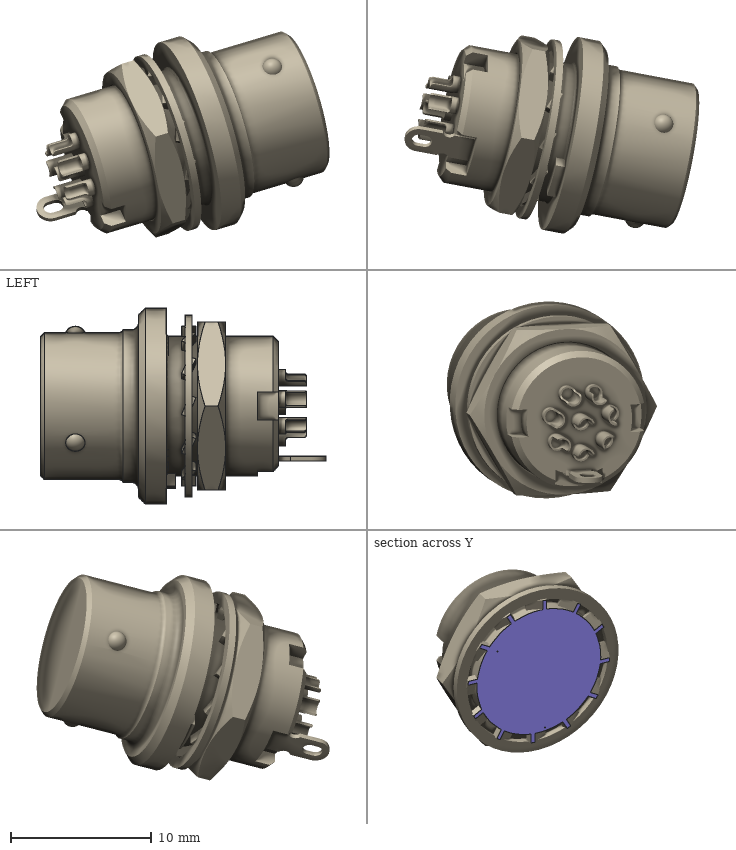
import math

import cadquery as cq


FLANGE_R = 7.0
FLANGE_THICKNESS = 2.0
FLANGE_CHAMFER = 0.5
COLLAR_R = 5.45
COLLAR_END_Y = 3.05
COLLAR_FILLET = 0.5
PLUG_R = 5.25
PLUG_END_Y = 9.0
PLUG_CHAMFER = 0.3
PLUG_ROOT_FILLET = 0.35
BARREL_R = 5.0
BARREL_END_Y = -8.0
BARREL_CHAMFER = 0.4
BARREL_ROOT_FILLET = 0.15

STUD_COUNT = 3
STUD_R = 0.75
STUD_CENTRE_R = 4.95
STUD_Y = 6.5

NOTCH_FLOOR_R = 3.9
NOTCH_DEPTH = 1.5
SIDE_NOTCH_WIDTH = 2.0
BOTTOM_NOTCH_WIDTH = 3.5

KEY_WIDTH = 2.8
KEY_R = 5.88
KEY_LENGTH = 0.66

WASHER_FRONT_Y = -1.34
WASHER_THICKNESS = 0.5
WASHER_R = 6.5
WASHER_BORE_R = 5.65
TOOTH_COUNT = 12
TOOTH_WIDTH = 1.5
TOOTH_TWIST = 22.0
TOOTH_INNER_R = 4.9
TOOTH_OUTER_R = 5.72

NUT_SIDES = 6
NUT_FRONT_Y = -2.22
NUT_THICKNESS = 2.0
NUT_ACROSS_FLATS = 12.0
NUT_CHAMFER_ANGLE = 30.0
NUT_COUNTERSINK = 0.08

CONTACT_COUNT = 7
CONTACT_CIRCLE_R = 2.25
CONTACT_R = 0.6
CONTACT_LENGTH = 2.0
CONTACT_COLLAR = 0.5
CUP_BORE_R = 0.47
CUP_BORE_LENGTH = CONTACT_LENGTH
CUP_FILLET = 0.2

LUG_THICKNESS = 0.35
LUG_TOP_Z = -3.57
LUG_R = 1.0
LUG_END_Y = -11.4
LUG_ROOT_Y = BARREL_END_Y + NOTCH_DEPTH
LUG_SHOULDER_Y = -8.85
LUG_WAIST_DEPTH = 0.25
LUG_SLOT_R = 0.5
LUG_SLOT_LENGTH = 1.45

EMBED = 0.5


def cylinder(radius, front_y, length):
    """Cylinder on the Y axis running from front_y towards -Y."""
    return cq.Workplane("XZ", origin=(0, front_y, 0)).circle(radius).extrude(length)


def turn(body, angle):
    """Turn a body about the connector axis, from +X towards +Z."""
    return body.rotate((0, 0, 0), (0, -1, 0), angle)


def quarter_point(centre_r, centre_y, radius, side_r, side_y):
    """Middle of a quarter arc, on the given side of its centre."""
    offset = radius * math.sqrt(0.5)
    return (centre_r + side_r * offset, centre_y + side_y * offset)


def make_shell():
    plug_fillet_r = PLUG_R + PLUG_ROOT_FILLET
    plug_fillet_y = COLLAR_END_Y + PLUG_ROOT_FILLET
    lip_drop = math.sqrt(PLUG_ROOT_FILLET**2 - (plug_fillet_r - COLLAR_R) ** 2)
    collar_fillet_r = COLLAR_R + COLLAR_FILLET
    collar_fillet_y = FLANGE_THICKNESS + COLLAR_FILLET
    root_r = BARREL_R + BARREL_ROOT_FILLET
    profile = (
        cq.Workplane("XY")
        .moveTo(0, PLUG_END_Y)
        .lineTo(PLUG_R - PLUG_CHAMFER, PLUG_END_Y)
        .lineTo(PLUG_R, PLUG_END_Y - PLUG_CHAMFER)
        .lineTo(PLUG_R, plug_fillet_y)
        .radiusArc((COLLAR_R, plug_fillet_y - lip_drop), -PLUG_ROOT_FILLET)
        .lineTo(COLLAR_R, collar_fillet_y)
        .threePointArc(
            quarter_point(collar_fillet_r, collar_fillet_y, COLLAR_FILLET, -1, -1),
            (collar_fillet_r, FLANGE_THICKNESS),
        )
        .lineTo(FLANGE_R - FLANGE_CHAMFER, FLANGE_THICKNESS)
        .lineTo(FLANGE_R, FLANGE_THICKNESS - FLANGE_CHAMFER)
        .lineTo(FLANGE_R, 0)
        .lineTo(root_r, 0)
        .threePointArc(
            quarter_point(root_r, -BARREL_ROOT_FILLET, BARREL_ROOT_FILLET, -1, 1),
            (BARREL_R, -BARREL_ROOT_FILLET),
        )
        .lineTo(BARREL_R, BARREL_END_Y + BARREL_CHAMFER)
        .lineTo(BARREL_R - BARREL_CHAMFER, BARREL_END_Y)
        .lineTo(0, BARREL_END_Y)
        .close()
    )
    return profile.revolve(360, (0, 0, 0), (0, 1, 0))


def make_stud():
    return cq.Workplane("XY").sphere(STUD_R).translate((STUD_CENTRE_R, STUD_Y, 0))


def make_notch(width):
    """Cutter for a rim notch on the +X side, with a floor concentric to the barrel."""
    block = cq.Workplane("XY").box(FLANGE_R, NOTCH_DEPTH, width, centered=(False, False, True))
    block = block.translate((0, BARREL_END_Y, 0))
    return block.cut(cylinder(NOTCH_FLOOR_R, BARREL_END_Y + NOTCH_DEPTH, NOTCH_DEPTH))


def make_key():
    """Key on the -Z side, rounded to a radius about the connector axis."""
    length = KEY_LENGTH + EMBED
    block = cq.Workplane("XZ", origin=(0, EMBED, 0)).rect(KEY_WIDTH, 2 * KEY_R).extrude(length)
    upper_half = cq.Workplane("XY").box(
        2 * FLANGE_R, 2 * FLANGE_R, FLANGE_R, centered=(True, True, False)
    )
    block = block.cut(upper_half)
    return block.intersect(cylinder(KEY_R, EMBED, length))


def make_washer():
    ring = cylinder(WASHER_R, WASHER_FRONT_Y, WASHER_THICKNESS)
    ring = ring.cut(cylinder(WASHER_BORE_R, WASHER_FRONT_Y, WASHER_THICKNESS))
    tooth = cq.Workplane("XY").box(
        TOOTH_WIDTH, WASHER_THICKNESS, FLANGE_R, centered=(True, True, False)
    )
    tooth = tooth.rotate((0, 0, 0), (0, 0, 1), -TOOTH_TWIST)
    tooth = tooth.translate((0, WASHER_FRONT_Y - WASHER_THICKNESS / 2, 0))
    envelope = cylinder(TOOTH_OUTER_R, 0, -NUT_FRONT_Y)
    envelope = envelope.cut(cylinder(TOOTH_INNER_R, 0, -NUT_FRONT_Y))
    tooth = tooth.intersect(envelope)
    for index in range(TOOTH_COUNT):
        ring = ring.union(turn(tooth, index * 360 / TOOTH_COUNT))
    return ring


def make_nut():
    """Hexagon nut with corners on the X axis and both faces chamfered."""
    corner_r = NUT_ACROSS_FLATS / math.sqrt(3)
    face_r = NUT_ACROSS_FLATS / 2
    drop = (corner_r - face_r) * math.tan(math.radians(NUT_CHAMFER_ANGLE))
    rear_y = NUT_FRONT_Y - NUT_THICKNESS
    sink_r = BARREL_R + NUT_COUNTERSINK
    hexagon = (
        cq.Workplane("XZ", origin=(0, NUT_FRONT_Y, 0))
        .polygon(NUT_SIDES, 2 * corner_r)
        .extrude(NUT_THICKNESS)
    )
    section = [
        (BARREL_R - EMBED, NUT_FRONT_Y - NUT_COUNTERSINK),
        (BARREL_R, NUT_FRONT_Y - NUT_COUNTERSINK),
        (sink_r, NUT_FRONT_Y),
        (face_r, NUT_FRONT_Y),
        (corner_r, NUT_FRONT_Y - drop),
        (corner_r, rear_y + drop),
        (face_r, rear_y),
        (sink_r, rear_y),
        (BARREL_R, rear_y + NUT_COUNTERSINK),
        (BARREL_R - EMBED, rear_y + NUT_COUNTERSINK),
    ]
    turned = cq.Workplane("XY").polyline(section).close().revolve(360, (0, 0, 0), (0, 1, 0))
    return hexagon.intersect(turned)


def make_contact():
    """Solder cup on the connector axis, with its open side facing +X."""
    collar_y = BARREL_END_Y - CONTACT_COLLAR
    tip_y = BARREL_END_Y - CONTACT_LENGTH
    front_y = BARREL_END_Y + EMBED
    side = (
        cq.Workplane("XY")
        .moveTo(-CONTACT_R, front_y)
        .lineTo(CONTACT_R, front_y)
        .lineTo(CONTACT_R, collar_y)
        .lineTo(CUP_FILLET, collar_y)
        .threePointArc(
            quarter_point(CUP_FILLET, collar_y - CUP_FILLET, CUP_FILLET, -1, 1),
            (0, collar_y - CUP_FILLET),
        )
        .lineTo(0, tip_y + CUP_FILLET)
        .threePointArc(
            quarter_point(-CUP_FILLET, tip_y + CUP_FILLET, CUP_FILLET, 1, -1),
            (-CUP_FILLET, tip_y),
        )
        .lineTo(-CONTACT_R, tip_y)
        .close()
        .extrude(CONTACT_R, both=True)
    )
    contact = side.intersect(cylinder(CONTACT_R, front_y, front_y - tip_y))
    return contact.cut(cylinder(CUP_BORE_R, tip_y + CUP_BORE_LENGTH, CUP_BORE_LENGTH))


def make_lug():
    tip_centre_y = LUG_END_Y + LUG_R
    waist_mid_y = (BARREL_END_Y + LUG_SHOULDER_Y) / 2
    waist_x = LUG_R - LUG_WAIST_DEPTH
    slot_end_y = tip_centre_y - LUG_SLOT_R
    top = cq.Workplane("XY", origin=(0, 0, LUG_TOP_Z))
    tag = (
        top.moveTo(-LUG_R, LUG_ROOT_Y)
        .lineTo(-LUG_R, BARREL_END_Y)
        .threePointArc((-waist_x, waist_mid_y), (-LUG_R, LUG_SHOULDER_Y))
        .lineTo(-LUG_R, tip_centre_y)
        .threePointArc((0, LUG_END_Y), (LUG_R, tip_centre_y))
        .lineTo(LUG_R, LUG_SHOULDER_Y)
        .threePointArc((waist_x, waist_mid_y), (LUG_R, BARREL_END_Y))
        .lineTo(LUG_R, LUG_ROOT_Y)
        .close()
        .extrude(-LUG_THICKNESS)
    )
    slot = (
        top.center(0, slot_end_y + LUG_SLOT_LENGTH / 2)
        .slot2D(LUG_SLOT_LENGTH, 2 * LUG_SLOT_R, 90)
        .extrude(-LUG_THICKNESS)
    )
    return tag.cut(slot)


RIGHT, TOP, LEFT, BOTTOM = 0, 90, 180, 270

result = make_shell()

for index in range(STUD_COUNT):
    result = result.union(turn(make_stud(), TOP + index * 360 / STUD_COUNT))

for angle in (RIGHT, LEFT):
    result = result.cut(turn(make_notch(SIDE_NOTCH_WIDTH), angle))
result = result.cut(turn(make_notch(BOTTOM_NOTCH_WIDTH), BOTTOM))

result = result.union(make_key()).union(make_washer()).union(make_nut())

result = result.union(turn(make_contact(), BOTTOM))
for index in range(CONTACT_COUNT):
    outer_contact = make_contact().translate((CONTACT_CIRCLE_R, 0, 0))
    result = result.union(turn(outer_contact, BOTTOM + index * 360 / CONTACT_COUNT))

result = result.union(make_lug())